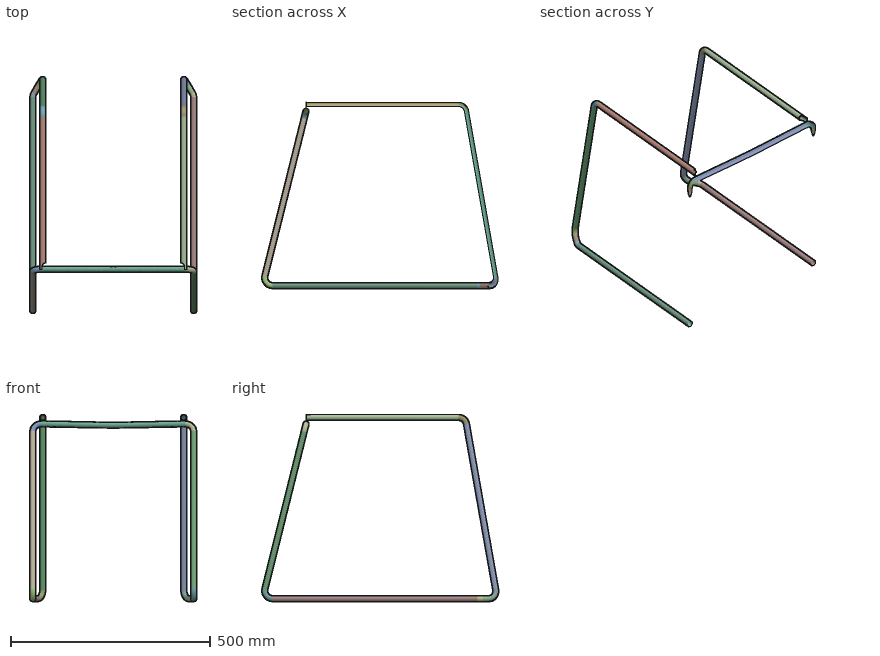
import cadquery as cq
import math

TUBE_DIAMETER = 16.0
BORE_DIAMETER = 13.0
BEND_RADIUS = 20.0
TUBE_RADIUS = TUBE_DIAMETER / 2

OVERALL_WIDTH = 420.0
OVERALL_HEIGHT = 471.0
LEG_X = OVERALL_WIDTH / 2 - TUBE_RADIUS
RAIL_X = 177.0
FLOOR_Z = TUBE_RADIUS
RAIL_Z = OVERALL_HEIGHT - TUBE_RADIUS

LEG_LEAN = 14.0
UPRIGHT_LEAN = 10.0
JOG_ANGLE = 30.0
FRONT_CORNER_Y = 0.0
REAR_CORNER_Y = 589.57
RAIL_CLEARANCE = 0.5
CROSSBAR_Z = RAIL_Z - TUBE_DIAMETER - RAIL_CLEARANCE
CROSSBAR_Y = FRONT_CORNER_Y + (CROSSBAR_Z - FLOOR_Z) * math.tan(math.radians(LEG_LEAN))
JOG_Y = REAR_CORNER_Y - (LEG_X - RAIL_X) / math.tan(math.radians(JOG_ANGLE))
RAIL_REAR_Y = REAR_CORNER_Y - (RAIL_Z - FLOOR_Z) * math.tan(math.radians(UPRIGHT_LEAN))
RAIL_END_Y = CROSSBAR_Y
RELIEF_LENGTH = 16.0
RELIEF_WIDTH = 9.7

CROSSBAR_SAG = 2.7
CROSSBAR_END_X = LEG_X - BEND_RADIUS

RAIL_START_Y = RAIL_REAR_Y - BEND_RADIUS * math.tan(math.radians(90 - UPRIGHT_LEAN) / 2)


def bent_path(corners):
    """Straight runs through the corners, with a tangent arc at each inner corner.

    The first and last points are the tangent ends of the outermost bends.
    """
    points = [cq.Vector(*corner) for corner in corners]
    edges = []
    start = None
    for before, corner, after in zip(points, points[1:], points[2:]):
        back = (before - corner).normalized()
        ahead = (after - corner).normalized()
        half_angle = back.getAngle(ahead) / 2
        setback = BEND_RADIUS / math.tan(half_angle)
        to_centre = BEND_RADIUS / math.sin(half_angle)
        arc_start = corner + back * setback
        arc_end = corner + ahead * setback
        arc_middle = corner + (back + ahead).normalized() * (to_centre - BEND_RADIUS)
        if start is not None:
            edges.append(cq.Edge.makeLine(start, arc_start))
        edges.append(cq.Edge.makeThreePointArc(arc_start, arc_middle, arc_end))
        start = arc_end
    return cq.Wire.assembleEdges(edges)


def hollow_tube(path):
    """Hollow tube swept along a path, with its ends square to the path."""
    plane = cq.Plane(path.startPoint(), normal=path.tangentAt(0))
    section = cq.Workplane(plane).circle(TUBE_RADIUS).circle(BORE_DIAMETER / 2)
    return section.sweep(cq.Workplane(path))


def side_frame():
    """Right-hand leg, floor rail, jog and rear upright, including the bends at both upper ends."""
    return hollow_tube(bent_path([
        (CROSSBAR_END_X, CROSSBAR_Y, CROSSBAR_Z),
        (LEG_X, CROSSBAR_Y, CROSSBAR_Z),
        (LEG_X, FRONT_CORNER_Y, FLOOR_Z),
        (LEG_X, JOG_Y, FLOOR_Z),
        (RAIL_X, REAR_CORNER_Y, FLOOR_Z),
        (RAIL_X, RAIL_REAR_Y, RAIL_Z),
        (RAIL_X, RAIL_START_Y, RAIL_Z),
    ]))


def crossbar():
    """Bowed tube joining the two front legs."""
    bow = cq.Edge.makeSpline(
        [
            cq.Vector(-CROSSBAR_END_X, CROSSBAR_Y, CROSSBAR_Z),
            cq.Vector(0, CROSSBAR_Y, CROSSBAR_Z - CROSSBAR_SAG),
            cq.Vector(CROSSBAR_END_X, CROSSBAR_Y, CROSSBAR_Z),
        ],
        tangents=[cq.Vector(1, 0, 0), cq.Vector(1, 0, 0)],
    )
    return hollow_tube(cq.Wire.assembleEdges([bow]))


def end_relief():
    """Cutter for the inner side of the right-hand rail's front end, with one rounded corner."""
    inner_x = RAIL_X - TUBE_RADIUS
    outer_x = inner_x + RELIEF_WIDTH
    back_y = RAIL_END_Y + RELIEF_LENGTH
    tangent_y = back_y - RELIEF_WIDTH
    arc_reach = RELIEF_WIDTH * math.sqrt(0.5)
    profile = cq.Workplane().workplane(offset=RAIL_Z - TUBE_RADIUS)
    profile = profile.moveTo(inner_x, RAIL_END_Y)
    profile = profile.lineTo(outer_x, RAIL_END_Y)
    profile = profile.lineTo(outer_x, tangent_y)
    profile = profile.threePointArc((inner_x + arc_reach, tangent_y + arc_reach), (inner_x, back_y))
    return profile.close().extrude(TUBE_DIAMETER)


def top_rail():
    """Right-hand straight rail running forward from the rear upright to just above the crossbar."""
    start = cq.Vector(RAIL_X, RAIL_START_Y, RAIL_Z)
    end = cq.Vector(RAIL_X, RAIL_END_Y, RAIL_Z)
    rail = hollow_tube(cq.Wire.assembleEdges([cq.Edge.makeLine(start, end)]))
    return rail.cut(end_relief())


right_side = side_frame().union(top_rail())
left_side = right_side.mirror("YZ")
result = crossbar().union(right_side).union(left_side)